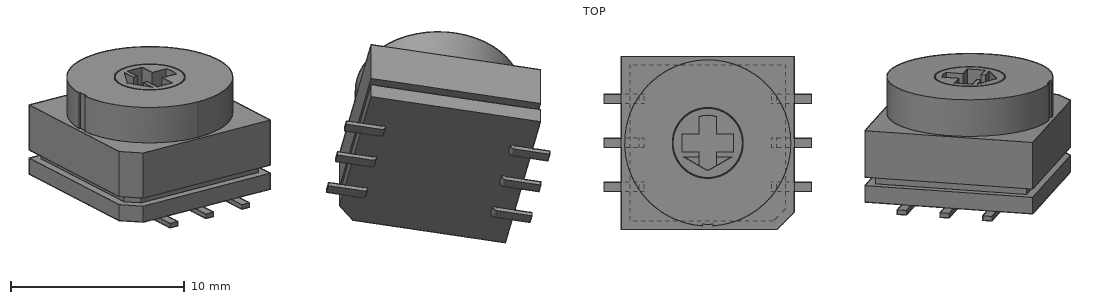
import cadquery as cq
import math

total_height = 6.8
dial_height = 2.2
case_height = 2.8
waist_height = 0.5
base_height = 1.0
case_top = total_height - dial_height
case_bottom = case_top - case_height
base_top = case_bottom - waist_height
base_bottom = base_top - base_height

body_side = 10.0
corner_chamfer = 1.0
waist_inset = 0.5
waist_side = body_side - 2 * waist_inset
waist_chamfer = corner_chamfer - waist_inset * (2 - math.sqrt(2))

dial_radius = 4.8
notch_width = 0.6
notch_depth = 0.1

rotor_diameter = 4.0
rotor_bore_diameter = 4.1

slot_depth = 1.3
slot_reach = 1.6
stem_width = 1.0
bar_length = 3.0
bar_width = 1.05
arrow_depth = 0.6
arrow_half_width = 1.4
arrow_base_y = -0.8

lead_span = 12.0
lead_width = 0.55
lead_thickness = 0.28
lead_pitch = 2.54
lead_rows = 3
lead_inner_x = 3.68
lead_bend_radius = lead_thickness


def housing_layer(side, chamfer, bottom, top):
    """Square plate with its +X, -Y vertical edge chamfered."""
    plate = cq.Workplane("XY").workplane(offset=bottom).rect(side, side).extrude(top - bottom)
    return plate.edges("|Z and >X and <Y").chamfer(chamfer)


def make_housing():
    base = housing_layer(body_side, corner_chamfer, base_bottom, base_top)
    waist = housing_layer(waist_side, waist_chamfer, base_top, case_bottom)
    case = housing_layer(body_side, corner_chamfer, case_bottom, case_top)
    return base.union(waist).union(case)


def make_dial():
    """Dial with a shallow index notch down its -Y side."""
    dial = cq.Workplane("XY").workplane(offset=case_top).circle(dial_radius).extrude(dial_height)
    notch = (
        cq.Workplane("XY")
        .workplane(offset=case_top)
        .center(0, -dial_radius)
        .rect(notch_width, 2 * dial_radius)
        .extrude(dial_height)
    )
    dial_inside_notch = (
        cq.Workplane("XY")
        .workplane(offset=case_top)
        .circle(dial_radius - notch_depth)
        .extrude(dial_height)
    )
    return dial.cut(notch.cut(dial_inside_notch))


def sunk_from_top(depth):
    """Sketch plane at the given depth below the dial top."""
    return cq.Workplane("XY").workplane(offset=total_height - depth)


def make_rotor_groove():
    return (
        sunk_from_top(slot_depth)
        .circle(rotor_bore_diameter / 2)
        .circle(rotor_diameter / 2)
        .extrude(slot_depth)
    )


def make_cross_slot():
    """Cross whose stem has a round +Y end and a pointed -Y end."""
    half_stem = stem_width / 2
    round_end_y = math.sqrt(slot_reach**2 - half_stem**2)
    point_slope = (slot_reach + arrow_base_y) / arrow_half_width
    point_start_y = -slot_reach + half_stem * point_slope
    stem = (
        sunk_from_top(slot_depth)
        .moveTo(-half_stem, round_end_y)
        .threePointArc((0, slot_reach), (half_stem, round_end_y))
        .lineTo(half_stem, point_start_y)
        .lineTo(0, -slot_reach)
        .lineTo(-half_stem, point_start_y)
        .close()
        .extrude(slot_depth)
    )
    bar = sunk_from_top(slot_depth).rect(bar_length, bar_width).extrude(slot_depth)
    return stem.union(bar)


def make_arrow_pocket():
    """Shallower triangular pocket that widens the stem's tip into an arrowhead."""
    return (
        sunk_from_top(arrow_depth)
        .moveTo(-arrow_half_width, arrow_base_y)
        .lineTo(arrow_half_width, arrow_base_y)
        .lineTo(0, -slot_reach)
        .close()
        .extrude(arrow_depth)
    )


def make_lead(y):
    """Flat +X lead whose inner end bends up to meet the housing's underside."""
    outer_x = lead_span / 2
    bend_top_x = lead_inner_x + lead_thickness
    bend_mid = lead_bend_radius * (1 - math.sqrt(0.5))
    return (
        cq.Workplane("XZ", origin=(0, y, 0))
        .moveTo(outer_x, 0)
        .lineTo(lead_inner_x + lead_bend_radius, 0)
        .threePointArc(
            (lead_inner_x + bend_mid, bend_mid),
            (lead_inner_x, lead_bend_radius),
        )
        .lineTo(lead_inner_x, base_bottom)
        .lineTo(bend_top_x, base_bottom)
        .lineTo(bend_top_x, lead_thickness)
        .lineTo(outer_x, lead_thickness)
        .close()
        .extrude(lead_width / 2, both=True)
    )


def make_leads():
    """Rows of leads, mirrored to the +X and -X sides."""
    leads = cq.Workplane("XY")
    for row in range(lead_rows):
        lead = make_lead((row - (lead_rows - 1) / 2) * lead_pitch)
        leads = leads.add(lead).add(lead.mirror("YZ"))
    return leads


result = make_housing().union(make_dial())
result = result.cut(make_rotor_groove())
result = result.cut(make_cross_slot())
result = result.cut(make_arrow_pocket())
result = result.union(make_leads())